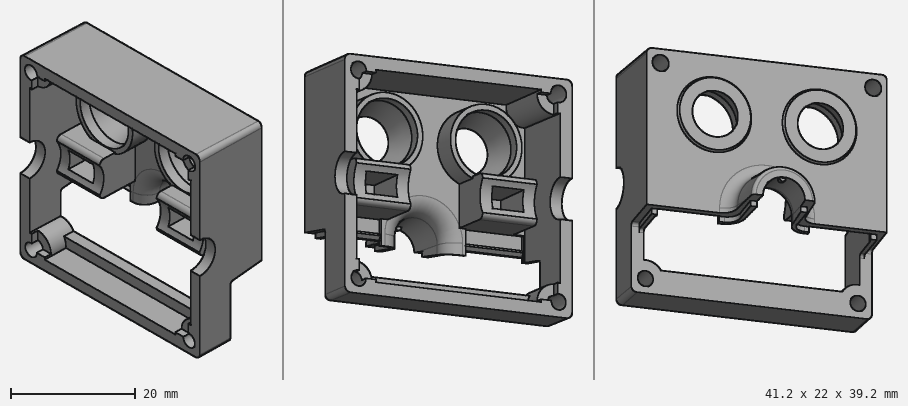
import cadquery as cq
import math

WIDTH = 41.25
HEIGHT = 39.25
BACK_Y = 14.0
DRAFT_ANGLE = 0.5
CORNER_RADIUS = 1.0
WALL_INNER_Y = 12.0
CAVITY_WIDTH = 36.95
CAVITY_HEIGHT = 34.97

STEP_ANGLE = 7.0
STEP_Z_AT_BACK = -7.05
STEP_Y = 6.93
STEP_RADIUS = 0.6
LIP_DROP = 0.9
LIP_SIDE_X = 19.2

LEDGE_FRONT_Y = 4.75
LEDGE_TOP_Z = -15.42

POST_X = 18.15
POST_Z = 17.1
POST_RADIUS = 3.18
POST_RECESS = 1.4
RIM_INNER_X = 18.0
RIM_INNER_Z = 17.05
UPPER_HOLE_RADIUS = 1.4
LOWER_HOLE_RADIUS = 1.3

TUBE_X = 9.0
TUBE_Z = 9.45
TUBE_OUTER_RADIUS = 6.47
TUBE_INNER_RADIUS = 5.53
TUBE_FRONT_Y = 7.5
CONE_START_Y = 9.5
CONE_END_RADIUS = 3.88
TUBE_RIM_Y = 14.45
TUBE_RIM_BASE_RADIUS = 6.35
TUBE_RIM_TOP_RADIUS = 6.05

NOTCH_RADIUS = 3.45
SADDLE_INNER_X = 6.5
SADDLE_OUTER_X = 16.37
SADDLE_HALF_HEIGHT = 3.8
SADDLE_RADIUS = 4.95
SADDLE_LIP_RADIUS = 1.0
SADDLE_TIP_Y = 4.05
WINDOW_X = 11.45
WINDOW_WIDTH = 5.7
WINDOW_HEIGHT = 3.7
WINDOW_INSET = 0.3

SPOUT_Z = -6.2
LEG_LENGTH = 4.12
SPOUT_TIP_Y = 22.0
SPOUT_TIP_ROUND = 0.6
SPOUT_ROOT_RADIUS = 5.85
SPOUT_TIP_RADIUS = 5.45
SPOUT_FILLET = 2.25
BORE_TIP_RADIUS = 3.6
BORE_ROOT_RADIUS = 4.05
FLARE_RADIUS = 3.0
LINER_HALF_WIDTH = 7.67
LINER_RADIUS = 4.83
LINER_REAR_Y = 12.75
LINER_FILLET = 2.02
LINER_END_Y = 19.6
NUB_RADIUS = 0.55
NUB_LENGTH = 0.82

RECESS_OUTER_X = 18.23
RECESS_Y = 12.7
RIDGE_TOP_Z = -6.1
RIDGE_PEAK_Y = 12.15
RIDGE_PEAK_Z = -6.55
RIDGE_FOOT_Y = 12.8

FAR = 33.0


def block(x_range, y_range, z_range):
    corner = (x_range[0], y_range[0], z_range[0])
    size = [high - low for low, high in (x_range, y_range, z_range)]
    return cq.Workplane("XY").box(*size, centered=False).translate(corner)


def both_sides(shape):
    return shape.union(shape.mirror("YZ"))


def tapered_block(width, height, depth, corner_radius=0):
    """Block from Y = 0 to Y = depth that narrows towards the back."""
    sketch = cq.Sketch().rect(width, height)
    if corner_radius:
        sketch = sketch.vertices().fillet(corner_radius)
    return cq.Workplane("XZ").placeSketch(sketch).extrude(-depth, taper=DRAFT_ANGLE)


def rod(x, z, radius, y_start, y_end):
    return cq.Workplane("XZ", origin=(x, y_start, z)).circle(radius).extrude(y_start - y_end)


def step_z(y):
    return STEP_Z_AT_BACK + (y - BACK_Y) * math.tan(math.radians(STEP_ANGLE))


def step_space(drop, x_range, start_y=STEP_Y, radius=STEP_RADIUS):
    """Everything behind start_y and under the slope lowered by drop."""
    outline = [
        (start_y, step_z(start_y) - drop),
        (FAR, step_z(FAR) - drop),
        (FAR, -FAR),
        (start_y, -FAR),
    ]
    space = cq.Workplane("YZ", origin=(x_range[0], 0, 0)).polyline(outline).close()
    space = space.extrude(x_range[1] - x_range[0])
    if radius:
        corner = cq.selectors.NearestToPointSelector((sum(x_range) / 2, *outline[0]))
        space = space.edges(corner).fillet(radius)
    return space


def arch_solid(make_profile):
    """Full turn of a profile about the spout axis, with straight legs running down."""
    turned = make_profile().revolve(360, (0, 0, 0), (0, 1, 0))
    leg = make_profile().extrude(-LEG_LENGTH)
    return turned.union(leg).union(leg.mirror("YZ"))


def spout_plane(x, y):
    return cq.Workplane("XY", origin=(0, 0, SPOUT_Z)).moveTo(x, y)


def arc_middle(center_x, center_y, radius, x_sign, y_sign):
    offset = radius * math.sqrt(0.5)
    return (center_x + x_sign * offset, center_y + y_sign * offset)


def spout_profile():
    fillet_x = SPOUT_ROOT_RADIUS + SPOUT_FILLET
    fillet_y = BACK_Y + SPOUT_FILLET
    round_x = SPOUT_TIP_RADIUS - SPOUT_TIP_ROUND
    round_y = SPOUT_TIP_Y - SPOUT_TIP_ROUND
    return (
        spout_plane(0, WALL_INNER_Y)
        .lineTo(LINER_HALF_WIDTH, WALL_INNER_Y)
        .lineTo(fillet_x, BACK_Y)
        .threePointArc(
            arc_middle(fillet_x, fillet_y, SPOUT_FILLET, -1, -1),
            (SPOUT_ROOT_RADIUS, fillet_y),
        )
        .lineTo(SPOUT_TIP_RADIUS, round_y)
        .threePointArc(
            arc_middle(round_x, round_y, SPOUT_TIP_ROUND, 1, 1),
            (round_x, SPOUT_TIP_Y),
        )
        .lineTo(0, SPOUT_TIP_Y)
        .close()
    )


def liner_profile():
    fillet_x = LINER_RADIUS + LINER_FILLET
    fillet_y = LINER_REAR_Y + LINER_FILLET
    return (
        spout_plane(0, WALL_INNER_Y)
        .lineTo(LINER_HALF_WIDTH, WALL_INNER_Y)
        .lineTo(LINER_HALF_WIDTH, LINER_REAR_Y)
        .lineTo(fillet_x, LINER_REAR_Y)
        .threePointArc(
            arc_middle(fillet_x, fillet_y, LINER_FILLET, -1, -1),
            (LINER_RADIUS, fillet_y),
        )
        .lineTo(LINER_RADIUS, LINER_END_Y)
        .lineTo(0, LINER_END_Y)
        .close()
    )


def bore_profile():
    flare_x = BORE_ROOT_RADIUS + FLARE_RADIUS
    flare_y = WALL_INNER_Y + FLARE_RADIUS
    return (
        spout_plane(0, WALL_INNER_Y)
        .lineTo(flare_x, WALL_INNER_Y)
        .threePointArc(
            arc_middle(flare_x, flare_y, FLARE_RADIUS, -1, -1),
            (BORE_ROOT_RADIUS, flare_y),
        )
        .lineTo(BORE_TIP_RADIUS, SPOUT_TIP_Y)
        .lineTo(0, SPOUT_TIP_Y)
        .close()
    )


def spout_nub():
    """Small round bead along the crown of the bore, at the tip."""
    axis_z = SPOUT_Z + BORE_TIP_RADIUS
    end_y = SPOUT_TIP_Y - SPOUT_TIP_ROUND
    return rod(0, axis_z, NUB_RADIUS, end_y - NUB_LENGTH, end_y)


def wall_recess():
    """Recess cut on +X, leaving a snap ridge along the lower edge of the wall."""
    outline = [
        (WALL_INNER_Y, -SADDLE_HALF_HEIGHT),
        (RECESS_Y, -SADDLE_HALF_HEIGHT),
        (RECESS_Y, RIDGE_TOP_Z),
        (RIDGE_PEAK_Y, RIDGE_PEAK_Z),
        (RIDGE_FOOT_Y, step_z(RIDGE_FOOT_Y)),
        (WALL_INNER_Y, step_z(WALL_INNER_Y)),
    ]
    recess = cq.Workplane("YZ", origin=(LINER_HALF_WIDTH, 0, 0)).polyline(outline).close()
    return recess.extrude(RECESS_OUTER_X - LINER_HALF_WIDTH)


def tube():
    """Sensor tube on +X, with a raised chamfered rim behind the wall."""
    body = rod(TUBE_X, TUBE_Z, TUBE_OUTER_RADIUS, TUBE_FRONT_Y, WALL_INNER_Y)
    rim = (
        cq.Workplane("XZ", origin=(TUBE_X, BACK_Y, TUBE_Z))
        .circle(TUBE_RIM_BASE_RADIUS)
        .workplane(offset=BACK_Y - TUBE_RIM_Y)
        .circle(TUBE_RIM_TOP_RADIUS)
        .loft()
    )
    return body.union(rim)


def tube_bore():
    straight = rod(TUBE_X, TUBE_Z, TUBE_INNER_RADIUS, TUBE_FRONT_Y, CONE_START_Y)
    cone = (
        cq.Workplane("XZ", origin=(TUBE_X, CONE_START_Y, TUBE_Z))
        .circle(TUBE_INNER_RADIUS)
        .workplane(offset=CONE_START_Y - TUBE_RIM_Y)
        .circle(CONE_END_RADIUS)
        .loft()
    )
    return straight.union(cone)


def saddle():
    """Cable saddle on +X: a block with a hollow front, rounded lips and a blind window."""
    body = block(
        (SADDLE_INNER_X, SADDLE_OUTER_X),
        (SADDLE_TIP_Y, WALL_INNER_Y),
        (-SADDLE_HALF_HEIGHT, SADDLE_HALF_HEIGHT),
    )
    body = body.edges("|X and <Y").fillet(SADDLE_LIP_RADIUS)
    cable = cq.Workplane("YZ").circle(SADDLE_RADIUS).extrude(FAR)
    window = (
        cq.Workplane("XZ", origin=(WINDOW_X, SADDLE_TIP_Y, 0))
        .rect(WINDOW_WIDTH, WINDOW_HEIGHT)
        .workplane(offset=SADDLE_TIP_Y - WALL_INNER_Y)
        .rect(WINDOW_WIDTH - 2 * WINDOW_INSET, WINDOW_HEIGHT - 2 * WINDOW_INSET)
        .loft()
    )
    return body.cut(cable).cut(window)


def post(z_side, back_y):
    body = rod(POST_X, z_side * POST_Z, POST_RADIUS, 0, back_y)
    recess = block(
        (-RIM_INNER_X, RIM_INNER_X),
        (0, POST_RECESS),
        (-RIM_INNER_Z, RIM_INNER_Z),
    )
    return body.cut(recess)


def ledge():
    """Strip along the bottom wall, flush with the back of the lower frame."""
    return block(
        (-CAVITY_WIDTH / 2, CAVITY_WIDTH / 2),
        (LEDGE_FRONT_Y, STEP_Y),
        (CORNER_RADIUS - HEIGHT / 2, LEDGE_TOP_Z),
    )


def side_notch():
    """Cable passage through the +X side wall."""
    passage = cq.Workplane("YZ", origin=(RIM_INNER_X, 0, 0)).circle(NOTCH_RADIUS)
    return passage.extrude(FAR)


envelope = tapered_block(WIDTH, HEIGHT, BACK_Y, CORNER_RADIUS)
body = envelope.cut(tapered_block(CAVITY_WIDTH, CAVITY_HEIGHT, WALL_INNER_Y))
body = body.cut(step_space(LIP_DROP, (-FAR, FAR)))
body = body.cut(both_sides(step_space(0, (LIP_SIDE_X, FAR))))
body = body.cut(step_space(0, (-FAR, FAR), LINER_REAR_Y, 0))
body = body.cut(step_space(0, (-RECESS_OUTER_X, RECESS_OUTER_X)))

body = body.union(ledge())
for z_side, back_y in ((1, BACK_Y), (-1, STEP_Y)):
    body = body.union(both_sides(post(z_side, back_y)).intersect(envelope))

spout = arch_solid(spout_profile).cut(step_space(0, (-FAR, FAR), 0, 0))
liner = arch_solid(liner_profile).cut(step_space(LIP_DROP, (-FAR, FAR), 0, 0))
body = body.union(spout).union(liner)
body = body.cut(arch_solid(bore_profile)).union(spout_nub())
body = body.cut(both_sides(wall_recess()))

body = body.union(both_sides(tube())).union(both_sides(saddle()))
body = body.cut(both_sides(tube_bore())).cut(both_sides(side_notch()))
for z_side, radius in ((1, UPPER_HOLE_RADIUS), (-1, LOWER_HOLE_RADIUS)):
    body = body.cut(both_sides(rod(POST_X, z_side * POST_Z, radius, 0, BACK_Y)))

result = body